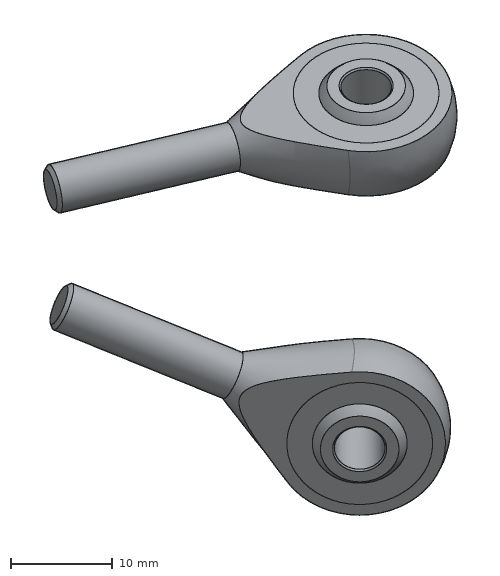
import cadquery as cq
import math


overall_length = 42.0
head_radius = 9.0
head_thickness = 6.0
shank_diameter = 4.95
shank_chamfer = 0.4
neck_end = 14.0
race_diameter = 14.4
ball_diameter = 11.15
ball_width = 8.0
bore_diameter = 5.0
bore_chamfer = 0.15

shank_radius = shank_diameter / 2
ball_radius = ball_diameter / 2
bore_radius = bore_diameter / 2
shank_end = overall_length - head_radius
neck_reach = math.hypot(neck_end, shank_radius)

tangent_angle = math.atan2(shank_radius, neck_end) + math.acos(head_radius / neck_reach)
tangent_radius = head_radius * math.sin(tangent_angle)
tangent_distance = head_radius * math.cos(tangent_angle)


def race_blank():
    """Solid disc the size of the race, also used to cut its seat in the head."""
    return cq.Workplane("XY").circle(race_diameter / 2).extrude(head_thickness / 2, both=True)


def make_housing():
    """Spherical head, conical neck and shank, flattened top and bottom."""
    body = (
        cq.Workplane("XY")
        .moveTo(0, head_radius)
        .threePointArc((head_radius, 0), (tangent_radius, -tangent_distance))
        .lineTo(shank_radius, -neck_end)
        .lineTo(shank_radius, -shank_end + shank_chamfer)
        .lineTo(shank_radius - shank_chamfer, -shank_end)
        .lineTo(0, -shank_end)
        .close()
        .revolve(360, (0, 0, 0), (0, 1, 0))
    )
    slab = cq.Workplane("XY").box(overall_length, 2 * overall_length, head_thickness)
    return body.intersect(slab).cut(race_blank())


def make_race():
    """Ring flush with the head, with a spherical seat for the ball."""
    ball_seat = cq.Workplane("XY").sphere(ball_radius)
    return race_blank().cut(ball_seat)


def make_ball():
    """Ball with flat ends and a chamfered through bore, revolved about Z."""
    end_height = ball_width / 2
    end_radius = math.sqrt(ball_radius**2 - end_height**2)
    return (
        cq.Workplane("XZ")
        .moveTo(bore_radius, -end_height + bore_chamfer)
        .lineTo(bore_radius + bore_chamfer, -end_height)
        .lineTo(end_radius, -end_height)
        .threePointArc((ball_radius, 0), (end_radius, end_height))
        .lineTo(bore_radius + bore_chamfer, end_height)
        .lineTo(bore_radius, end_height - bore_chamfer)
        .close()
        .revolve(360, (0, 0, 0), (0, 1, 0))
    )


housing = make_housing()
race = make_race()
ball = make_ball()

result = cq.Compound.makeCompound([*housing.solids().vals(), *race.solids().vals(), *ball.solids().vals()])